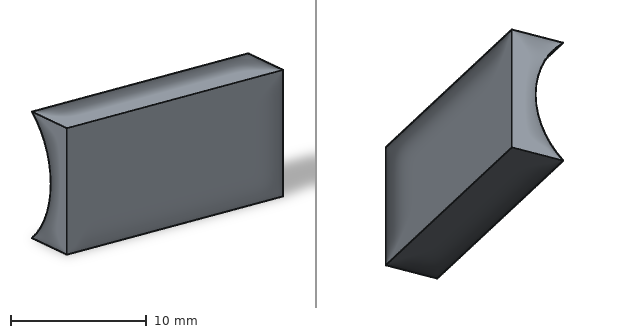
import cadquery as cq

length = 20.0
height = 10.0
depth = 4.3
wall = 2.0

groove_depth = depth - wall

profile = (
    cq.Workplane("XZ")
    .moveTo(0, -height / 2)
    .lineTo(depth, -height / 2)
    .lineTo(depth, height / 2)
    .lineTo(0, height / 2)
    .threePointArc((groove_depth, 0), (0, -height / 2))
    .close()
)

result = profile.extrude(length / 2, both=True)